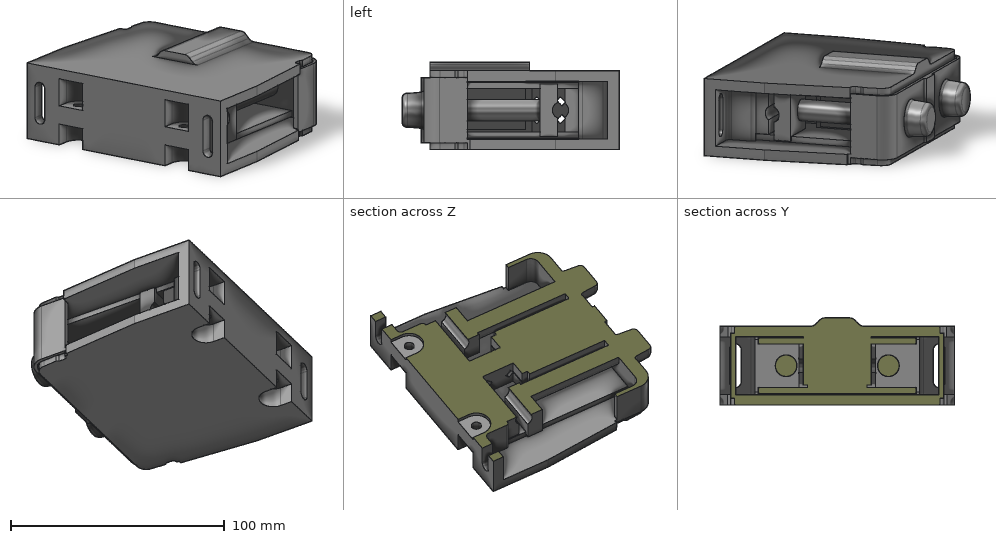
import cadquery as cq
import math

body_width = 110.0
body_height = 37.0
body_depth = 88.8
mid_z = body_height / 2
straight_depth = 30.0
shoulder_y = 71.2
shoulder_half = 51.2
lower_shoulder_setback = 1.3

neck_start_half = 47.9
neck_step_low_y = 75.7
neck_step_high_y = 76.9
neck_bulge_half = 48.7
neck_end_half = 48.1
neck_relief_radius = 1.6
neck_corner_radius = 4.8

plate_thickness = 5.0
front_wall = 5.7
cavity_height = body_height - 2 * plate_thickness
front_block_half = 38.5
front_block_end = 19.1
block_root_radius = 2.0
block_nose_radius = 1.8

strap_half = 49.9
strap_end_y = 91.6
strap_height = 30.6
strap_thickness = 1.6
strap_corner_radius = 7.3
strap_tab_width = 11.2
strap_tab_length = 1.25

liner_inner_half = 47.5
liner_back_y = 85.0
liner_corner_radius = 4.0

ridge_height = 4.0
ridge_start_y = 42.1
ridge_flat_half = 5.5
ridge_radius = 4.0
ridge_flank_angle = math.radians(45)

knob_x = 23.95
knob_tip_y = 101.8
knob_base_radius = 9.0
knob_flare_length = 1.2
knob_root_radius = 8.55
knob_shoulder_radius = 8.0
knob_shoulder_y = 99.3
knob_flat_radius = 5.9
knob_round_factor = math.sqrt(0.5)
tube_diameter = 10.2
tube_end_y = 37.0

rail_half = 37.0
rail_thickness = 2.9
rail_span = 26.0
end_block_start_y = 29.0
end_block_end_y = 37.1
end_block_height = 24.4
end_block_inner_x = 18.0
end_block_outer_x = 38.6
web_half = 14.0
web_front_half = 36.5
web_thin_half = 6.0
web_thin_start_y = 25.4
web_thin_end_y = 41.0
web_hole_y = 33.2
web_hole_pitch_y = 11.8
web_hole_pitch_z = 8.4
web_hole_short_side = 2.4
web_hole_long_side = 3.4
web_hole_tilt = 45
bore_y = 27.6
bore_diameter = 7.6
spine_half = 16.0
spine_start_y = 43.9
spine_bottom = 9.4

window_x = 30.05
window_width = 13.3
window_straight_depth = 6.0
upper_window_bottom = 19.1
upper_window_top = 32.3
lower_window_top = 10.2
screw_hole_diameter = 4.6
slot_x = 47.75
slot_width = 5.4
slot_height = 20.4


def box(x0, x1, y0, y1, z0, z1):
    """Axis-aligned box between the given limits."""
    return cq.Workplane("XY").box(x1 - x0, y1 - y0, z1 - z0, centered=False).translate((x0, y0, z0))


def centred_box(half_x, y0, y1, height):
    """Box symmetric about x = 0 and about mid height."""
    return box(-half_x, half_x, y0, y1, mid_z - height / 2, mid_z + height / 2)


def make_body():
    half = body_width / 2
    neck_corner_x = neck_end_half - neck_corner_radius
    neck_corner_y = body_depth - neck_corner_radius
    diagonal = neck_corner_radius * math.sqrt(0.5)
    relief_x = neck_start_half + neck_relief_radius
    relief_y = shoulder_y + neck_relief_radius
    relief_diagonal = neck_relief_radius * math.sqrt(0.5)
    right_half = (
        cq.Workplane("XY")
        .moveTo(0, 0)
        .lineTo(half, 0)
        .lineTo(half, straight_depth)
        .lineTo(shoulder_half, shoulder_y)
        .lineTo(relief_x, shoulder_y)
        .threePointArc((relief_x - relief_diagonal, relief_y - relief_diagonal), (neck_start_half, relief_y))
        .lineTo(neck_start_half, neck_step_low_y)
        .lineTo(neck_bulge_half, neck_step_high_y)
        .lineTo(neck_end_half, neck_corner_y)
        .threePointArc((neck_corner_x + diagonal, neck_corner_y + diagonal), (neck_corner_x, body_depth))
        .lineTo(0, body_depth)
        .close()
        .extrude(body_height)
    )
    body = right_half.union(right_half.mirror("YZ"))
    for side in (-1, 1):
        x0, x1 = sorted((side * strap_half, side * half))
        body = body.cut(box(x0, x1, shoulder_y - lower_shoulder_setback, shoulder_y, 0, plate_thickness))
    return body


def make_cavity():
    cavity = centred_box(body_width, front_wall, strap_end_y, cavity_height)
    front_block = centred_box(front_block_half, 0, front_block_end, cavity_height)
    front_block = front_block.edges("|Z and >Y").fillet(block_nose_radius)
    cavity = cavity.cut(front_block)
    margin = block_root_radius / 2
    root_corner = cq.selectors.BoxSelector(
        (-front_block_half - margin, front_wall - margin, 0),
        (front_block_half + margin, front_wall + margin, body_height),
    )
    return cavity.edges("|Z").edges(root_corner).fillet(block_root_radius)


def make_strap():
    bottom = mid_z - strap_height / 2
    outer = centred_box(strap_half, shoulder_y, strap_end_y, strap_height)
    outer = outer.edges("|Z and >Y").fillet(strap_corner_radius)
    inner = centred_box(strap_half - strap_thickness, 0, strap_end_y - strap_thickness, strap_height)
    inner = inner.edges("|Z and >Y").fillet(strap_corner_radius - strap_thickness)
    tab_end_y = strap_end_y + strap_tab_length
    tab = box(
        -strap_tab_width / 2, strap_tab_width / 2,
        strap_end_y - strap_thickness, tab_end_y,
        bottom, bottom + strap_height,
    )
    return outer.cut(inner).union(tab)


def make_liner():
    outer_half = strap_half - strap_thickness
    outer = centred_box(outer_half, shoulder_y, strap_end_y - strap_thickness, cavity_height)
    outer = outer.edges("|Z and >Y").fillet(strap_corner_radius - strap_thickness)
    inner = centred_box(liner_inner_half, 0, liner_back_y, cavity_height)
    return outer.cut(inner.edges("|Z and >Y").fillet(liner_corner_radius))


def make_ridge():
    sin_a = math.sin(ridge_flank_angle)
    cos_a = math.cos(ridge_flank_angle)
    sin_h = math.sin(ridge_flank_angle / 2)
    cos_h = math.cos(ridge_flank_angle / 2)
    top_z = body_height + ridge_height
    crest_x = ridge_flat_half + ridge_radius * sin_a
    arc_drop = ridge_radius * (1 - cos_a)
    flank_height = ridge_height - 2 * arc_drop
    foot_x = crest_x + flank_height / math.tan(ridge_flank_angle)
    toe_x = foot_x + ridge_radius * sin_a
    mid_drop = ridge_radius * (1 - cos_h)
    half_profile = (
        cq.Workplane("XZ")
        .moveTo(0, body_height)
        .lineTo(0, top_z)
        .lineTo(ridge_flat_half, top_z)
        .threePointArc((ridge_flat_half + ridge_radius * sin_h, top_z - mid_drop), (crest_x, top_z - arc_drop))
        .lineTo(foot_x, body_height + arc_drop)
        .threePointArc((toe_x - ridge_radius * sin_h, body_height + mid_drop), (toe_x, body_height))
        .close()
        .extrude(-(body_depth - ridge_start_y))
        .translate((0, ridge_start_y, 0))
    )
    return half_profile.union(half_profile.mirror("YZ"))


def make_knob(x):
    round_x = knob_flat_radius + (knob_shoulder_radius - knob_flat_radius) * knob_round_factor
    round_y = knob_shoulder_y + (knob_tip_y - knob_shoulder_y) * knob_round_factor
    root_y = strap_end_y + knob_flare_length
    return (
        cq.Workplane("XY")
        .moveTo(0, strap_end_y - strap_thickness)
        .lineTo(knob_base_radius, strap_end_y - strap_thickness)
        .lineTo(knob_base_radius, strap_end_y)
        .lineTo(knob_root_radius, root_y)
        .lineTo(knob_shoulder_radius, knob_shoulder_y)
        .threePointArc((round_x, round_y), (knob_flat_radius, knob_tip_y))
        .lineTo(0, knob_tip_y)
        .close()
        .revolve(360, (0, 0, 0), (0, 1, 0))
        .translate((x, 0, mid_z))
    )


def make_tube(x):
    length = liner_back_y - tube_end_y
    tube = cq.Workplane("XZ").circle(tube_diameter / 2).extrude(-length)
    return tube.translate((x, tube_end_y, mid_z))


def make_end_block(side):
    """Block that holds the front end of a tube; side is -1 or +1."""
    x0, x1 = sorted((side * end_block_inner_x, side * end_block_outer_x))
    block_bottom = mid_z - end_block_height / 2
    return box(x0, x1, end_block_start_y, end_block_end_y, block_bottom, block_bottom + end_block_height)


def make_side_bore(side):
    """Cross bore through an end block and the wide front part of the web."""
    bore = cq.Workplane("YZ").circle(bore_diameter / 2).extrude(side * (end_block_outer_x - web_thin_half))
    return bore.translate((side * web_thin_half, bore_y, mid_z))


def make_rails():
    outside = centred_box(rail_half, front_block_end, liner_back_y, rail_span)
    inside = centred_box(rail_half, front_block_end, liner_back_y, rail_span - 2 * rail_thickness)
    return outside.cut(inside)


def make_web():
    """Central wall between the rails, pierced by four diagonal windows."""
    web = centred_box(web_half, front_block_end, liner_back_y, rail_span)
    web = web.union(centred_box(web_front_half, front_block_end, web_thin_start_y, rail_span))
    inside_height = rail_span - 2 * rail_thickness
    recess = centred_box(web_half, web_thin_start_y, web_thin_end_y, inside_height)
    web = web.cut(recess.cut(centred_box(web_thin_half, web_thin_start_y, web_thin_end_y, inside_height)))
    for side_y in (-1, 1):
        for side_z in (-1, 1):
            hole = cq.Workplane("YZ").rect(web_hole_short_side, web_hole_long_side).extrude(web_half, both=True)
            hole = hole.rotate((0, 0, 0), (1, 0, 0), web_hole_tilt * side_y * side_z)
            hole_y = web_hole_y + side_y * web_hole_pitch_y / 2
            hole_z = mid_z + side_z * web_hole_pitch_z / 2
            web = web.cut(hole.translate((0, hole_y, hole_z)))
    return web


def make_spine():
    """Thick block along the middle, joining the web to the upper plate."""
    ceiling = body_height - plate_thickness
    return box(-spine_half, spine_half, spine_start_y, liner_back_y, spine_bottom, ceiling)


def make_window(x, bottom, top):
    """Opening in the front face with a rounded back."""
    radius = window_width / 2
    straight = box(x - radius, x + radius, 0, window_straight_depth, bottom, top)
    back = cq.Workplane("XY").circle(radius).extrude(top - bottom)
    return straight.union(back.translate((x, window_straight_depth, bottom)))


def make_screw_hole(x):
    hole = cq.Workplane("XY").circle(screw_hole_diameter / 2).extrude(upper_window_bottom)
    return hole.translate((x, window_straight_depth, 0))


def make_front_slot(x):
    slot = cq.Workplane("XZ").slot2D(slot_height, slot_width, 90).extrude(-front_wall)
    return slot.translate((x, 0, mid_z))


result = make_body().cut(make_cavity())
result = result.union(make_ridge())
result = result.union(make_liner())
result = result.union(make_strap())
result = result.union(make_rails())
result = result.union(make_web())
result = result.union(make_spine())

for side in (-1, 1):
    result = result.union(make_knob(side * knob_x))
    result = result.union(make_tube(side * knob_x))
    result = result.union(make_end_block(side))
    result = result.cut(make_side_bore(side))
    result = result.cut(make_window(side * window_x, upper_window_bottom, upper_window_top))
    result = result.cut(make_window(side * window_x, 0, lower_window_top))
    result = result.cut(make_screw_hole(side * window_x))
    result = result.cut(make_front_slot(side * slot_x))